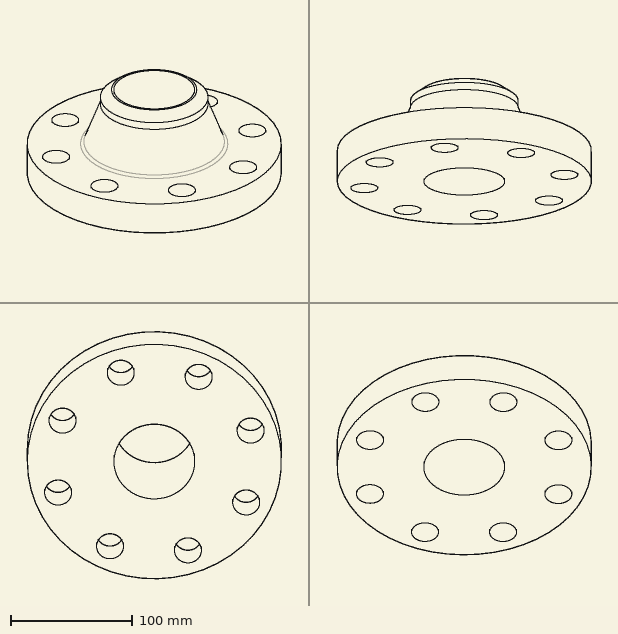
import cadquery as cq

flange_diameter = 209.5
flange_thickness = 27.2

total_height = 77.7
hub_base_diameter = 117.3
neck_diameter = 88.8
neck_land_height = 6.3
bevel_height = 7.0
rim_diameter = 70.2
hub_fillet_radius = 3.0

bore_diameter = 66.6

bolt_circle_diameter = 168.0
bolt_hole_diameter = 22.2
bolt_hole_count = 8

bevel_start = total_height - bevel_height
taper_end = bevel_start - neck_land_height


def make_body():
    """Revolve the flange and hub as one solid about the Z axis."""
    return (
        cq.Workplane("XZ")
        .moveTo(0, 0)
        .lineTo(flange_diameter / 2, 0)
        .lineTo(flange_diameter / 2, flange_thickness)
        .lineTo(hub_base_diameter / 2, flange_thickness)
        .lineTo(neck_diameter / 2, taper_end)
        .lineTo(neck_diameter / 2, bevel_start)
        .lineTo(rim_diameter / 2, total_height)
        .lineTo(0, total_height)
        .close()
        .revolve(360, (0, 0, 0), (0, 1, 0))
    )


def round_hub_base(body):
    """Fillet the circle where the hub meets the flange face."""
    hub_reach = hub_base_diameter / 2 + hub_fillet_radius
    hub_zone = cq.selectors.BoxSelector(
        (-hub_reach, -hub_reach, flange_thickness - hub_fillet_radius),
        (hub_reach, hub_reach, flange_thickness + hub_fillet_radius),
        boundingbox=True,
    )
    return body.edges("%CIRCLE").edges(hub_zone).fillet(hub_fillet_radius)


def cut_bore(body):
    """Cut the through bore, leaving a narrow flat rim at the weld end."""
    return body.cut(cq.Workplane("XY").circle(bore_diameter / 2).extrude(total_height))


def cut_bolt_holes(body):
    """Cut the ring of bolt holes through the flange, the first one on +X."""
    holes = (
        cq.Workplane("XY")
        .polarArray(bolt_circle_diameter / 2, 0, 360, bolt_hole_count)
        .circle(bolt_hole_diameter / 2)
        .extrude(flange_thickness)
    )
    return body.cut(holes)


result = cut_bolt_holes(cut_bore(round_hub_base(make_body())))